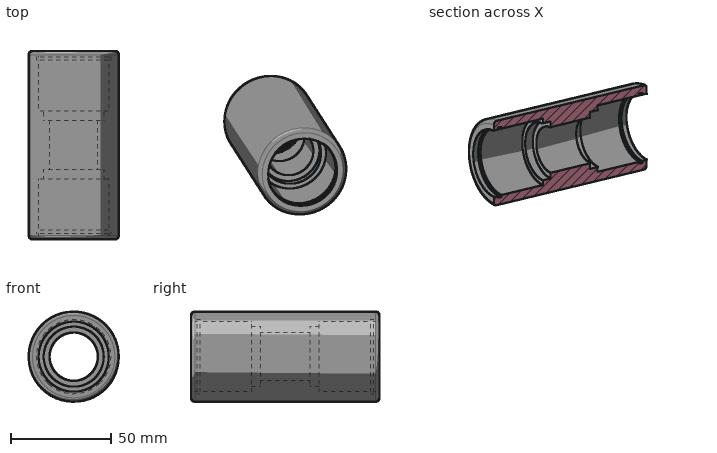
import cadquery as cq

length = 94.0
outer_diameter = 45.0
edge_radius = 2.0

seat_diameter = 35.0
shoulder_diameter = 30.0
bore_diameter = 24.0
seat_depth = 30.1
shoulder_depth = 4.7

groove_diameter = 37.0
groove_width = 1.6
groove_offset = 3.0


def cylinder(diameter, start, end):
    """Solid cylinder about the Y axis between two Y positions."""
    plane = cq.Workplane("XZ", origin=(0, end, 0))
    return plane.circle(diameter / 2).extrude(end - start)


def end_recess():
    """Seat, ring groove and shoulder step cut into the -Y end."""
    face = -length / 2
    seat_end = face + seat_depth
    groove_start = face + groove_offset
    seat = cylinder(seat_diameter, face, seat_end)
    groove = cylinder(groove_diameter, groove_start, groove_start + groove_width)
    shoulder = cylinder(shoulder_diameter, seat_end, seat_end + shoulder_depth)
    return seat.union(groove).union(shoulder)


body = cylinder(outer_diameter, -length / 2, length / 2)
body = body.edges("%CIRCLE").fillet(edge_radius)

recess = end_recess()
result = body.cut(cylinder(bore_diameter, -length / 2, length / 2))
result = result.cut(recess).cut(recess.mirror("XZ"))